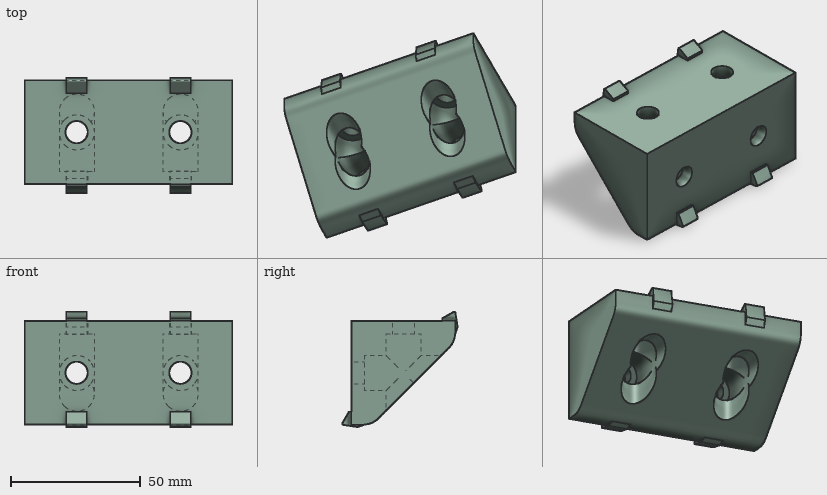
import cadquery as cq
import math

LENGTH = 80.0
LEG = 40.0
NOSE = 8.0
NOSE_RADIUS = 8.0

STATIONS = (LENGTH / 4, 3 * LENGTH / 4)
HOLE_DIAMETER = 8.5
HEAD_DIAMETER = 13.5
WALL = 5.0

TAB_WIDTH = 8.0
TAB_INNER = 35.0
TAB_STEP = 1.0
TAB_PEAK = (40.0, 3.8)
TAB_PEAK_RADIUS = 0.54
TAB_BULGE = (41.0, -2.3)
TAB_FOOT = (LEG, -5.1)


def wedge():
    """Triangular block with its outer corner on the X axis and both noses rounded."""
    tangent = NOSE_RADIUS * math.tan(math.radians(22.5))
    flat = NOSE - tangent
    diagonal = tangent * math.sqrt(0.5)
    arc_centre = LEG - NOSE_RADIUS
    mid_angle = math.radians(22.5)
    mid_out = arc_centre + NOSE_RADIUS * math.cos(mid_angle)
    mid_side = flat + NOSE_RADIUS * math.sin(mid_angle)
    end_out = LEG - diagonal
    end_side = NOSE + diagonal
    return (
        cq.Workplane("YZ")
        .moveTo(0, 0)
        .lineTo(LEG, 0)
        .lineTo(LEG, -flat)
        .threePointArc((mid_out, -mid_side), (end_out, -end_side))
        .lineTo(end_side, -end_out)
        .threePointArc((mid_side, -mid_out), (flat, -LEG))
        .lineTo(0, -LEG)
        .close()
        .extrude(LENGTH)
    )


def top_tab(station):
    """Tab on the top face, hooked over the far end of the leg."""
    outline = [
        (TAB_INNER, TAB_FOOT[1]),
        (TAB_INNER, TAB_STEP),
        TAB_PEAK,
        TAB_BULGE,
        TAB_FOOT,
    ]
    start = station - TAB_WIDTH / 2
    tab = cq.Workplane("YZ", origin=(start, 0, 0)).polyline(outline).close().extrude(TAB_WIDTH)
    return tab.edges("|X").edges(">Z").fillet(TAB_PEAK_RADIUS)


def top_bore(station):
    """Bolt hole down from the top face, with its head clearance below the wall."""
    axis = cq.Workplane("XY").center(station, LEG / 2)
    hole = axis.circle(HOLE_DIAMETER / 2).extrude(-LEG)
    head = axis.workplane(offset=-WALL).circle(HEAD_DIAMETER / 2).extrude(WALL - LEG)
    return hole.union(head)


def on_front(shape):
    """Mirror a top-face feature across the diagonal plane y = -z to the front face."""
    return shape.mirror("XY").rotate((0, 0, 0), (1, 0, 0), -90)


result = wedge()
for station in STATIONS:
    tab = top_tab(station)
    result = result.union(tab).union(on_front(tab))
for station in STATIONS:
    bore = top_bore(station)
    result = result.cut(bore).cut(on_front(bore))